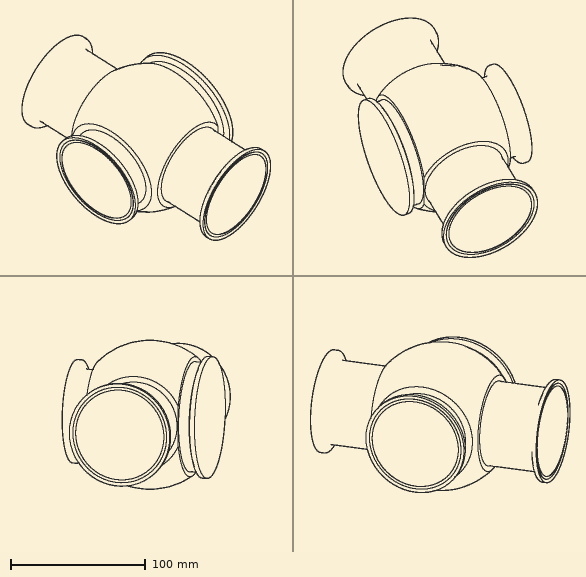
import cadquery as cq
import math

ball_radius = 55.56
side_flat = 42.1
front_flat = 39.5
back_flat = 32.9

side_face = 88.9
front_face = 57.5
back_face = 46.2

pipe_radius = 63.5 / 2
rim_radius = 77.3 / 2
rim_corner_depth = 3.4
rim_round = 0.7
neck_round = 2.7
cone_angle = math.radians(20)

groove_outer = 36.8
groove_inner = 33.2
groove_edge_round = 0.7
groove_depth = 1.5

flare_radius = 2.8
front_flare = 2.7
side_flare = 1.2
back_flare = 1.0

back_pipe_radius = 82.0 / 2
back_rim_radius = 90.9 / 2
back_rim_thickness = 3.7


def flare_points(pipe, flat, length):
    """Start, middle and end (radius, height) of the root flare, from flat to pipe."""
    def at(height):
        distance = flat + length - height
        return (pipe + flare_radius - math.sqrt(flare_radius**2 - distance**2), height)

    return at(flat), at(flat + length / 2), at(flat + length)


def revolve_profile(profile):
    return profile.close().revolve(360, (0, 0, 0), (0, 1, 0))


def seal_groove(face):
    """Ring cutter: rounded lips leading into a concave arc."""
    lip = face - groove_edge_round
    lip_bulge = groove_edge_round * math.sqrt(0.5)
    outer_wall = groove_outer - groove_edge_round
    inner_wall = groove_inner + groove_edge_round
    middle = (groove_outer + groove_inner) / 2
    profile = (
        cq.Workplane("XY")
        .moveTo(groove_inner, face)
        .threePointArc((groove_inner + lip_bulge, lip + lip_bulge), (inner_wall, lip))
        .threePointArc((middle, face - groove_depth), (outer_wall, lip))
        .threePointArc((groove_outer - lip_bulge, lip + lip_bulge), (groove_outer, face))
    )
    return revolve_profile(profile)


def ferrule(flat, face, flare_length):
    """Clamp port along +Y, starting at the ball centre."""
    flare_start, flare_middle, flare_end = flare_points(pipe_radius, flat, flare_length)

    sine, cosine = math.sin(cone_angle), math.cos(cone_angle)
    cone_start_radius = pipe_radius + neck_round * (1 - sine)
    cone_drop = (rim_radius - cone_start_radius) * math.tan(cone_angle)
    cone_start_height = face - rim_corner_depth - cone_drop
    neck_height = cone_start_height - neck_round * cosine
    neck_turn = (math.pi / 2 - cone_angle) / 2
    neck_middle = (
        pipe_radius + neck_round * (1 - math.cos(neck_turn)),
        neck_height + neck_round * math.sin(neck_turn),
    )

    rim_setback = rim_round * math.tan(neck_turn)
    rim_start = (
        rim_radius - rim_setback * cosine,
        face - rim_corner_depth - rim_setback * sine,
    )
    rim_end_height = face - rim_corner_depth + rim_setback
    rim_middle = (
        rim_radius - rim_round * (1 - math.cos(neck_turn)),
        rim_end_height - rim_round * math.sin(neck_turn),
    )

    profile = (
        cq.Workplane("XY")
        .lineTo(flare_start[0], 0)
        .lineTo(*flare_start)
        .threePointArc(flare_middle, flare_end)
        .lineTo(pipe_radius, neck_height)
        .threePointArc(neck_middle, (cone_start_radius, cone_start_height))
        .lineTo(*rim_start)
        .threePointArc(rim_middle, (rim_radius, rim_end_height))
        .lineTo(rim_radius, face)
        .lineTo(0, face)
    )
    return revolve_profile(profile).cut(seal_groove(face))


def back_port():
    """Short, wide port along +Y with a bevelled flange."""
    flare_start, flare_middle, flare_end = flare_points(back_pipe_radius, back_flat, back_flare)
    rim_base = back_face - back_rim_thickness
    bevel = (back_rim_radius - back_pipe_radius) * math.tan(cone_angle)
    profile = (
        cq.Workplane("XY")
        .lineTo(flare_start[0], 0)
        .lineTo(*flare_start)
        .threePointArc(flare_middle, flare_end)
        .lineTo(back_pipe_radius, rim_base - bevel)
        .lineTo(back_rim_radius, rim_base)
        .lineTo(back_rim_radius, back_face)
        .lineTo(0, back_face)
    )
    return revolve_profile(profile)


def ball():
    """Sphere trimmed flat on the four sides that carry ports."""
    trim = cq.Workplane("XY").box(
        2 * side_flat, front_flat + back_flat, 3 * ball_radius
    ).translate((0, (back_flat - front_flat) / 2, 0))
    return cq.Workplane("XY").sphere(ball_radius).intersect(trim)


z_axis = ((0, 0, 0), (0, 0, 1))
side_port = ferrule(side_flat, side_face, side_flare)

result = ball().union(back_port())
result = result.union(ferrule(front_flat, front_face, front_flare).rotate(*z_axis, 180))
for turn in (90, -90):
    result = result.union(side_port.rotate(*z_axis, turn))